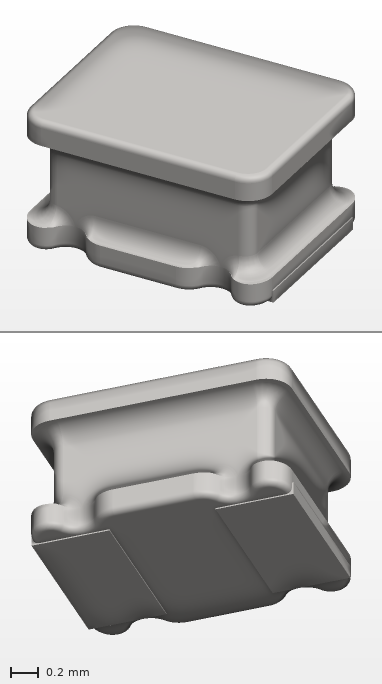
import cadquery as cq
import math

body_length = 2.0
body_width = 1.6
body_height = 1.099
flange_thickness = 0.2
flange_corner_radius = 0.2
flange_edge_radius = 0.05

core_inset = 0.15
core_corner_radius = 0.1
core_fillet_radius = 0.137

notch_radius = core_inset
notch_x = 0.6
notch_blend_radius = 0.2
lug_radius = 0.14
fillet_run_out = 0.172

pad_length = 0.6
pad_width = 1.2
pad_height = 0.1
pad_proud = 0.01

half_length = body_length / 2
half_width = body_width / 2
base_z = pad_proud
base_top_z = base_z + flange_thickness
top_z = base_z + body_height
lid_bottom_z = top_z - flange_thickness
core_length = body_length - 2 * core_inset
core_width = body_width - 2 * core_inset
core_height = lid_bottom_z - base_top_z


def point_toward(start, end, distance):
    """Point at the given distance from start, on the line to end."""
    share = distance / math.dist(start, end)
    return (start[0] + share * (end[0] - start[0]), start[1] + share * (end[1] - start[1]))


def circle_meeting(center_a, radius_a, center_b, radius_b):
    """Meeting point of two circles, on the right when going from a to b."""
    gap = math.dist(center_a, center_b)
    along = (radius_a**2 - radius_b**2 + gap**2) / (2 * gap)
    aside = math.sqrt(radius_a**2 - along**2)
    ux = (center_b[0] - center_a[0]) / gap
    uy = (center_b[1] - center_a[1]) / gap
    return (center_a[0] + along * ux + aside * uy, center_a[1] + along * uy - aside * ux)


def rounded_block(length, width, bottom_z, height, corner_radius):
    block = cq.Workplane("XY").workplane(offset=bottom_z).rect(length, width).extrude(height)
    return block.edges("|Z").fillet(corner_radius)


def arc_middle(center, start, end):
    """Middle of the short arc from start to end about center."""
    chord_middle = ((start[0] + end[0]) / 2, (start[1] + end[1]) / 2)
    return point_toward(center, chord_middle, math.dist(center, start))


def notched_quarter_arcs():
    """Arcs (start, middle, end) of the +X +Y quarter, from the short side to the long side."""
    corner_center = (half_length - flange_corner_radius, half_width - flange_corner_radius)
    notch_center = (notch_x, half_width)
    blend_y = half_width - notch_blend_radius
    blend_reach = notch_radius + notch_blend_radius
    blend_x = notch_x - math.sqrt(blend_reach**2 - notch_blend_radius**2)
    blend_center = (blend_x, blend_y)
    lug_center = circle_meeting(
        corner_center, flange_corner_radius - lug_radius, notch_center, notch_radius + lug_radius
    )

    side_end = (half_length, corner_center[1])
    corner_end = point_toward(corner_center, lug_center, flange_corner_radius)
    lug_end = point_toward(lug_center, notch_center, lug_radius)
    notch_end = point_toward(notch_center, blend_center, notch_radius)
    blend_end = (blend_x, half_width)
    notch_bottom = (notch_x, half_width - notch_radius)

    return [
        (side_end, arc_middle(corner_center, side_end, corner_end), corner_end),
        (corner_end, arc_middle(lug_center, corner_end, lug_end), lug_end),
        (lug_end, notch_bottom, notch_end),
        (notch_end, arc_middle(blend_center, notch_end, blend_end), blend_end),
    ]


def mirrored(arc, sign_x, sign_y):
    return tuple((sign_x * x, sign_y * y) for x, y in arc)


def reversed_arcs(arcs):
    return [(end, middle, start) for start, middle, end in reversed(arcs)]


def make_notched_plate(bottom_z, thickness):
    """Plate with the outline of the lower flange."""
    quarter = notched_quarter_arcs()
    arcs = []
    for sign_x, sign_y in ((1, 1), (-1, 1), (-1, -1), (1, -1)):
        quarter_arcs = [mirrored(arc, sign_x, sign_y) for arc in quarter]
        arcs += quarter_arcs if sign_x == sign_y else reversed_arcs(quarter_arcs)

    position = arcs[0][0]
    outline = cq.Workplane("XY").workplane(offset=bottom_z).moveTo(*position)
    for start, middle, end in arcs:
        if start != position:
            outline = outline.lineTo(*start)
        outline = outline.threePointArc(middle, end)
        position = end
    return outline.close().extrude(thickness)


def make_plain_plate(bottom_z, thickness):
    """Flange plate without notches."""
    return rounded_block(body_length, body_width, bottom_z, thickness, flange_corner_radius)


def fillet_core_root(body, z):
    """Round the edges where the core meets a flange face at height z."""
    margin = 0.0002
    reach_x = core_length / 2 + margin
    reach_y = core_width / 2 + margin
    root = cq.selectors.BoxSelector(
        (-reach_x, -reach_y, z - margin), (reach_x, reach_y, z + margin), boundingbox=True
    )
    return body.edges(root).fillet(core_fillet_radius)


def make_run_out_cutter():
    """Space swept by a ball of the fillet radius that sinks into the +X +Y notch.

    The ball stays against the core wall. On each side of the notch its center follows
    an arc that starts on the notch axis, level with the flange, and ends level at the
    height of the full fillet.
    """
    wall_y = core_width / 2
    full_z = base_top_z + core_fillet_radius
    path_radius = (fillet_run_out**2 + core_fillet_radius**2) / (2 * core_fillet_radius)
    path_center_z = full_z - path_radius
    half_angle = math.asin(fillet_run_out / path_radius) / 2
    middle_x = fillet_run_out - path_radius * math.sin(half_angle)
    middle_z = path_center_z + path_radius * math.cos(half_angle)

    cutter = (
        cq.Workplane("XZ", origin=(notch_x, wall_y, 0))
        .moveTo(-fillet_run_out, full_z)
        .threePointArc((-middle_x, middle_z), (0, base_top_z))
        .threePointArc((middle_x, middle_z), (fillet_run_out, full_z))
        .close()
        .extrude(-core_inset)
    )

    for side in (-1, 1):
        path_center_x = notch_x + side * fillet_run_out
        ball_y = wall_y + core_fillet_radius
        ring = cq.Solid.makeTorus(
            path_radius,
            core_fillet_radius,
            cq.Vector(path_center_x, ball_y, path_center_z),
            cq.Vector(0, 1, 0),
        )
        zone = (
            cq.Workplane("XY", origin=((notch_x + path_center_x) / 2, ball_y, base_top_z))
            .rect(fillet_run_out, 2 * core_fillet_radius)
            .extrude(core_fillet_radius)
        )
        cutter = cutter.union(zone.intersect(cq.Workplane(ring)))
    return cutter


def make_base():
    base = make_notched_plate(base_z, flange_thickness)
    return base.faces("<Z").edges().fillet(flange_edge_radius)


def make_lid():
    lid = make_plain_plate(lid_bottom_z, flange_thickness)
    return lid.faces(">Z").edges().fillet(flange_edge_radius)


def make_core():
    """Core with its fillets to both flanges; the lower one is trimmed at the notches."""
    core = rounded_block(core_length, core_width, base_top_z, core_height, core_corner_radius)
    plain_base = make_plain_plate(base_z, flange_thickness)
    plain_lid = make_plain_plate(lid_bottom_z, flange_thickness)
    core = core.union(plain_base).union(plain_lid)
    core = fillet_core_root(core, base_top_z)
    core = fillet_core_root(core, lid_bottom_z)
    core = core.cut(plain_base).cut(plain_lid)

    overhang = make_plain_plate(base_top_z, core_fillet_radius)
    overhang = overhang.cut(make_notched_plate(base_top_z, core_fillet_radius))
    core = core.cut(overhang)
    cutter = make_run_out_cutter()
    other_side = cutter.mirror("YZ")
    for part in (cutter, other_side, cutter.mirror("XZ"), other_side.mirror("XZ")):
        core = core.cut(part)
    return core


def make_pads():
    center_x = half_length + pad_proud - pad_length / 2
    pads = cq.Workplane("XY").pushPoints([(-center_x, 0), (center_x, 0)])
    return pads.rect(pad_length, pad_width).extrude(pad_height)


result = make_base().union(make_core()).union(make_lid()).union(make_pads())